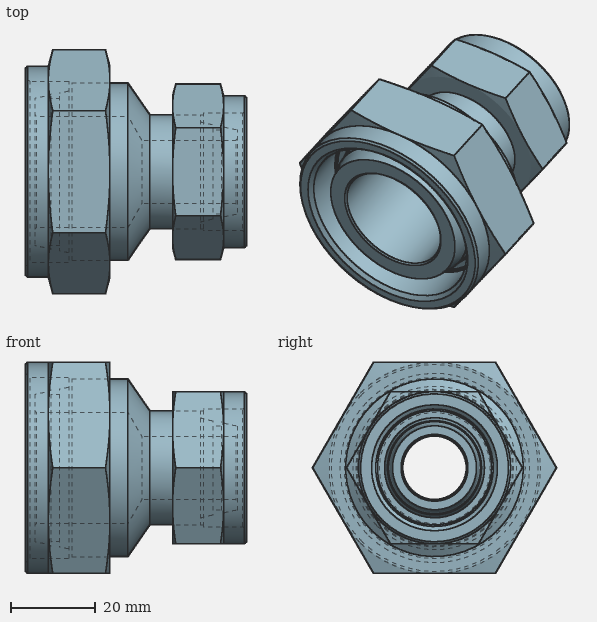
import cadquery as cq
import math


total_length = 52.3
large_hex_length = 14.55
small_hex_length = 12.05
collar_length = 5.4
shoulder_end = 24.25
neck_start = 29.45

flats_to_corners = math.cos(math.pi / 6)
large_corner_width = 57.75
large_flats = large_corner_width * flats_to_corners
small_flats = 36.0
collar_chamfer = 0.5
corner_chamfer_angle = math.radians(15)

large_thread_radius = 21.0
small_thread_radius = 13.5

bore_clearance = 0.4
bore_depth = 10.3
mouth_chamfer = 1.0

thread_start = 10.95
sleeve_tip_depth = 2.2
sleeve_back_depth = 5.2
crest_depth = 6.0
base_depth = 8.0
sleeve_tip_drop = 3.6
sleeve_back_drop = 2.95
crest_drop = 2.6
base_front_drop = 2.35
base_back_drop = 1.7

large_bore_radius = 13.1
small_bore_radius = 7.5
bore_edge_chamfer = 0.4
passage_cone_half_angle = math.radians(60)


def revolve_about_x(points):
    """Turn a closed (x, radius) outline into a solid of revolution about X."""
    return cq.Workplane("XY").polyline(points).close().revolve(360, (0, 0, 0), (1, 0, 0))


def make_nut(flats, hex_length, thread_radius):
    """Union nut with its collar end at X = 0 and its hexagon towards +X."""
    nut_length = collar_length + hex_length
    flat_radius = flats / 2
    corner_radius = flat_radius / flats_to_corners
    corner_chamfer = (corner_radius - flat_radius) * math.tan(corner_chamfer_angle)

    hexagon = (
        cq.Workplane("YZ", origin=(collar_length, 0, 0))
        .polygon(6, 2 * corner_radius)
        .extrude(hex_length)
    )
    chamfer_envelope = revolve_about_x([
        (collar_length, 0),
        (collar_length, flat_radius),
        (collar_length + corner_chamfer, corner_radius),
        (nut_length - corner_chamfer, corner_radius),
        (nut_length, flat_radius),
        (nut_length, 0),
    ])
    collar = revolve_about_x([
        (0, 0),
        (0, flat_radius - collar_chamfer),
        (collar_chamfer, flat_radius),
        (collar_length, flat_radius),
        (collar_length, 0),
    ])

    bore_radius = thread_radius + bore_clearance
    cavity = revolve_about_x([
        (0, 0),
        (0, bore_radius + mouth_chamfer),
        (mouth_chamfer, bore_radius),
        (bore_depth, bore_radius),
        (bore_depth, thread_radius),
        (nut_length, thread_radius),
        (nut_length, 0),
    ])
    return hexagon.intersect(chamfer_envelope).union(collar).cut(cavity)


def sleeve_outline(thread_radius, bore_radius):
    """(depth, radius) points of one body end, from its bore out to the thread."""
    tip_radius = thread_radius - sleeve_tip_drop
    return [
        (sleeve_tip_depth + bore_edge_chamfer, bore_radius),
        (sleeve_tip_depth, bore_radius + bore_edge_chamfer),
        (sleeve_tip_depth, tip_radius),
        (sleeve_back_depth, thread_radius - sleeve_back_drop),
        (crest_depth, thread_radius - crest_drop),
        (crest_depth, tip_radius),
        (base_depth, tip_radius),
        (base_depth, thread_radius - base_front_drop),
        (thread_start, thread_radius - base_back_drop),
        (thread_start, thread_radius),
    ]


def make_body():
    """Stepped body: large end, outer cone, neck, small end and the tapering passage."""
    large_end = sleeve_outline(large_thread_radius, large_bore_radius)
    small_end = sleeve_outline(small_thread_radius, small_bore_radius)
    small_end_mirrored = [(total_length - depth, radius) for depth, radius in reversed(small_end)]

    passage_cone_length = (large_bore_radius - small_bore_radius) / math.tan(passage_cone_half_angle)

    outside_steps = [
        (shoulder_end, large_thread_radius),
        (neck_start, small_thread_radius),
    ]
    passage_cone = [
        (shoulder_end + passage_cone_length, small_bore_radius),
        (shoulder_end, large_bore_radius),
    ]
    return revolve_about_x(large_end + outside_steps + small_end_mirrored + passage_cone)


body = make_body()
large_nut = make_nut(large_flats, large_hex_length, large_thread_radius)

small_nut = (
    make_nut(small_flats, small_hex_length, small_thread_radius)
    .mirror("YZ")
    .translate((total_length, 0, 0))
)

result = cq.Compound.makeCompound([body.val(), large_nut.solids().val(), small_nut.solids().val()])